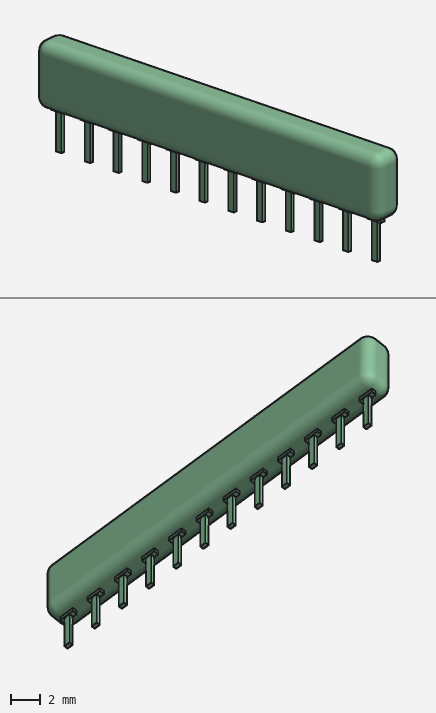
import cadquery as cq

body_length = 30.48
body_thickness = 2.5
body_height = 5.0
edge_radius = body_thickness / 3

overall_height = 8.3
lead_count = 12
lead_row_length = 27.95
lead_width = 0.5
lead_thickness = 0.3
shoulder_width = 1.2
shoulder_thickness = 0.4
shoulder_drop = 0.3
embed_depth = 0.3

lead_pitch = lead_row_length / (lead_count - 1)
lead_drop = overall_height - body_height


def make_body():
    """Block standing on Z = 0 with every edge rounded."""
    block = cq.Workplane("XY").box(
        body_length, body_thickness, body_height, centered=(True, True, False)
    )
    return block.edges().fillet(edge_radius)


def make_hanging_bars(centres, width, thickness, drop):
    """Rectangular bars at the lead positions, from inside the body down to Z = -drop."""
    return (
        cq.Workplane("XY")
        .workplane(offset=-drop)
        .pushPoints(centres)
        .rect(width, thickness)
        .extrude(drop + embed_depth)
    )


first_lead_x = -lead_row_length / 2
lead_centres = [(first_lead_x + i * lead_pitch, 0) for i in range(lead_count)]

shoulders = make_hanging_bars(lead_centres, shoulder_width, shoulder_thickness, shoulder_drop)
pins = make_hanging_bars(lead_centres, lead_width, lead_thickness, lead_drop)

result = make_body().union(shoulders).union(pins)